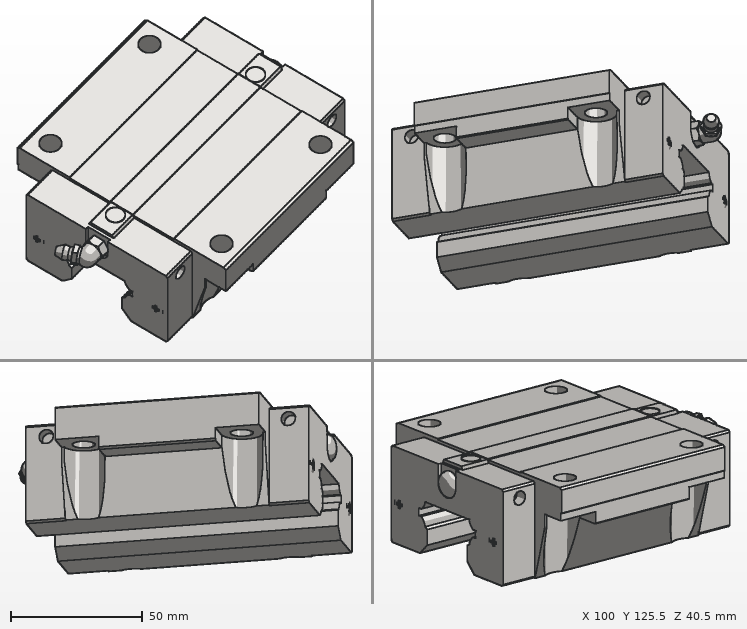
import cadquery as cq
import math

height = 40.5

block_width = 100.0
block_length = 80.0
flange_underside = 22.3
flange_root = 39.9
skirt_half_width = 34.0
flange_top_chamfer = 1.2
flange_top_chamfer_drop = 0.7
flange_bottom_chamfer = 0.8
datum_step = 0.4
datum_step_z = 30.3
top_recess = 0.4
top_recess_half_width = 25.0
strip_half_width = 5.4

hole_pitch_x = 82.0
hole_pitch_y = 62.0
hole_diameter = 8.6
spotface_radius = 8.1
spotface_z = 27.3

cap_half_width = 33.9
cap_height = 38.9
cap_outer_y = 55.55
seal_thickness = 2.75
cap_chamfer = 0.8
cap_strip_height = 40.2
cap_strip_top_half_width = 5.2
cap_strip_foot_half_width = 6.0
oil_mark_radius = 3.75
oil_mark_y = 43.9
oil_mark_depth = 0.3
side_hole_radius = 2.75
side_hole_y = 47.5
side_hole_z = 33.9
side_hole_depth = 5.0

opening_half_width = 12.05
opening_foot_chamfer = 4.4
opening_neck_z = 10.7
opening_roof_z = 21.5
opening_roof_half_width = 13.3
lip_z = 16.5
groove_half_width = 17.05
groove_half_height = 1.5
lip_corner_x = 15.7
lip_bulge = (13.95, 3.3)

port_radius = 5.25
port_z = 31.9
port_depth = 1.4

plug_protrusion = 2.0
plug_shoulder = (4.2, 2.4)

screw_x = 28.5
screw_z = 16.5
screw_radius = 3.15
screw_crown = 0.6
cross_length = 3.0
cross_width = 0.8
cross_depth = 0.4

nut_across_flats = 8.2
nut_length = 4.0
elbow_radius = 4.0
elbow_center_y = -61.66
branch_angle = 22.5
branch_radius = 3.3
collar_across_flats = 7.1
collar_start = 3.3
collar_end = 5.4
neck_start_radius = 3.0
neck_radius = 2.55
neck_end = 7.0
ridge_radius = 3.05
ridge_position = 9.1
tip_radius = 1.75
tip_position = 12.2

half_width = block_width / 2
half_length = block_length / 2
seal_inner_y = cap_outer_y - seal_thickness
port_floor_y = cap_outer_y - port_depth
hole_x = hole_pitch_x / 2
hole_y = hole_pitch_y / 2
SIDES = (-1, 1)


def box(x_range, y_range, z_range):
    """Axis-aligned box from its limits along X, Y and Z."""
    (x0, x1), (y0, y1), (z0, z1) = x_range, y_range, z_range
    return cq.Workplane("XY").box(x1 - x0, y1 - y0, z1 - z0, centered=False).translate((x0, y0, z0))


def both_sides(half_outline):
    """Close a half outline with its mirror image about X = 0."""
    return half_outline + [(-x, z) for x, z in reversed(half_outline)]


def along_y(outline, y0, y1):
    """Extrude a closed XZ outline from y0 to y1."""
    plane = cq.Plane(origin=(0, y0, 0), xDir=(1, 0, 0), normal=(0, -1, 0))
    return cq.Workplane(plane).polyline(outline).close().extrude(y0 - y1)


def revolve_about(plane_profile):
    """Revolve a profile drawn as (radius, distance along axis) about its local Y axis."""
    return plane_profile.close().revolve(360, (0, 0, 0), (0, 1, 0))


def cylinder(origin, direction, radius, length):
    return cq.Workplane(cq.Plane(origin=origin, normal=direction)).circle(radius).extrude(length)


def across_corners(across_flats):
    return across_flats / math.cos(math.pi / 6)


def hexagon(plane, across_flats, length):
    """Hexagonal prism with corners on the plane's local X axis."""
    return cq.Workplane(plane).polygon(6, across_corners(across_flats)).extrude(length)


def make_block():
    recess_z = height - top_recess
    half_outline = [
        (skirt_half_width, 0),
        (flange_root, flange_underside),
        (half_width - flange_bottom_chamfer, flange_underside),
        (half_width, flange_underside + flange_bottom_chamfer),
        (half_width, height - flange_top_chamfer_drop),
        (half_width - flange_top_chamfer, height),
        (top_recess_half_width, height),
        (top_recess_half_width, recess_z),
        (strip_half_width, recess_z),
        (strip_half_width, height),
    ]
    block = along_y(both_sides(half_outline), -half_length, half_length)
    datum_relief = box(
        (-half_width, -half_width + datum_step), (-half_length, half_length), (0, datum_step_z)
    )
    return block.cut(datum_relief)


def cut_mounting_holes(block):
    for side in SIDES:
        for end in SIDES:
            x, y = side * hole_x, end * hole_y
            bore = cylinder((x, y, 0), (0, 0, 1), hole_diameter / 2, height)
            spotface = cylinder((x, y, 0), (0, 0, 1), spotface_radius, spotface_z)
            corner_x = sorted((side * flange_root, side * half_width))
            corner_y = sorted((end * (hole_y - spotface_radius), end * half_length))
            flange_corner = box(corner_x, corner_y, (flange_underside, spotface_z))
            block = block.cut(bore).cut(spotface).cut(flange_corner)
    return block


def make_end_cap(end):
    """End cap with its seal plate; end is -1 or 1 along Y."""
    half_outline = [
        (cap_half_width - cap_chamfer, 0),
        (cap_half_width, cap_chamfer),
        (cap_half_width, cap_height - cap_chamfer),
        (cap_half_width - cap_chamfer, cap_height),
    ]
    strip_outline = [
        (cap_strip_foot_half_width, cap_height),
        (cap_strip_top_half_width, cap_strip_height),
    ]
    cap = along_y(both_sides(half_outline), end * half_length, end * cap_outer_y)
    cap = cap.union(along_y(both_sides(strip_outline), end * half_length, end * seal_inner_y))

    oil_mark_z = cap_strip_height - oil_mark_depth
    cap = cap.cut(cylinder((0, end * oil_mark_y, oil_mark_z), (0, 0, 1), oil_mark_radius, oil_mark_depth))
    for side in SIDES:
        mouth = (side * cap_half_width, end * side_hole_y, side_hole_z)
        cap = cap.cut(cylinder(mouth, (-side, 0, 0), side_hole_radius, side_hole_depth))

    floor = (0, end * port_floor_y, port_z)
    port = cylinder(floor, (0, end, 0), port_radius, port_depth)
    port_y = sorted((end * port_floor_y, end * cap_outer_y))
    port_slot = box((-port_radius, port_radius), port_y, (port_z, cap_height))
    return cap.cut(port).cut(port_slot)


def make_rail_opening():
    lower, upper = lip_z - groove_half_height, lip_z + groove_half_height
    lip_foot_z = 2 * lip_z - opening_roof_z
    bulge_x, bulge_rise = lip_bulge
    plane = cq.Plane(origin=(0, -cap_outer_y, 0), xDir=(1, 0, 0), normal=(0, -1, 0))
    return (
        cq.Workplane(plane)
        .moveTo(0, 0)
        .lineTo(opening_half_width + opening_foot_chamfer, 0)
        .lineTo(opening_half_width, opening_foot_chamfer)
        .lineTo(opening_half_width, opening_neck_z)
        .lineTo(opening_roof_half_width, lip_foot_z)
        .threePointArc((bulge_x, lip_z - bulge_rise), (lip_corner_x, lower))
        .lineTo(groove_half_width, lower)
        .lineTo(groove_half_width, upper)
        .lineTo(lip_corner_x, upper)
        .threePointArc((bulge_x, lip_z + bulge_rise), (opening_roof_half_width, opening_roof_z))
        .lineTo(0, opening_roof_z)
        .mirrorY()
        .extrude(-2 * cap_outer_y)
    )


def make_screw(side, end):
    """Domed screw head with a cross recess, seated on a seal plate."""
    seat = cq.Plane(origin=(side * screw_x, end * cap_outer_y, screw_z), xDir=(1, 0, 0), normal=(0, 0, end))
    dome_radius = (screw_radius**2 + screw_crown**2) / (2 * screw_crown)
    half_angle = math.asin(screw_radius / dome_radius) / 2
    rise = screw_crown - dome_radius * (1 - math.cos(half_angle))
    profile = (
        cq.Workplane(seat)
        .lineTo(screw_radius, 0)
        .threePointArc((dome_radius * math.sin(half_angle), rise), (0, screw_crown))
    )
    recess_base = cq.Plane(
        origin=(side * screw_x, end * (cap_outer_y + screw_crown - cross_depth), screw_z),
        xDir=(1, 0, 0),
        normal=(0, end, 0),
    )
    head = revolve_about(profile)
    for length, width in ((cross_length, cross_width), (cross_width, cross_length)):
        head = head.cut(cq.Workplane(recess_base).rect(length, width).extrude(cross_depth))
    return head


def make_plug():
    base = cq.Plane(origin=(0, port_floor_y, port_z), xDir=(1, 0, 0), normal=(0, 0, 1))
    apex = port_depth + plug_protrusion
    profile = (
        cq.Workplane(base)
        .lineTo(port_radius, 0)
        .spline([plug_shoulder, (0, apex)], tangents=[(0, 1), (-1, 0)], includeCurrent=True)
    )
    return revolve_about(profile)


def make_nipple():
    nut_plane = cq.Plane(origin=(0, -port_floor_y, port_z), xDir=(1, 0, 0), normal=(0, -1, 0))
    nut = hexagon(nut_plane, nut_across_flats, nut_length)
    corner_radius = across_corners(nut_across_flats) / 2
    corner_trim = cq.Workplane(nut_plane).circle(corner_radius).extrude(nut_length)
    nut = nut.intersect(corner_trim.faces("<Y").chamfer(corner_radius - nut_across_flats / 2))

    elbow_center = (0, elbow_center_y, port_z)
    barrel = cylinder((0, -port_floor_y, port_z), (0, -1, 0), elbow_radius, -elbow_center_y - port_floor_y)
    ball = cq.Workplane("XY").sphere(elbow_radius).translate(elbow_center)

    angle = math.radians(branch_angle)
    axis = (-math.cos(angle), -math.sin(angle), 0)
    across = (math.sin(angle), -math.cos(angle), 0)
    collar_center = tuple(c + collar_start * a for c, a in zip(elbow_center, axis))
    collar_plane = cq.Plane(origin=collar_center, xDir=across, normal=axis)
    collar = hexagon(collar_plane, collar_across_flats, collar_end - collar_start)

    branch_plane = cq.Plane(origin=elbow_center, xDir=across, normal=(0, 0, -1))
    branch = revolve_about(
        cq.Workplane(branch_plane).polyline([
            (0, 0),
            (branch_radius, 0),
            (branch_radius, collar_start),
            (neck_start_radius, collar_end),
            (neck_radius, neck_end),
            (ridge_radius, ridge_position),
            (tip_radius, tip_position),
            (0, tip_position),
        ])
    )
    return nut.union(barrel).union(ball).union(branch).union(collar)


carriage = cut_mounting_holes(make_block())
for end in SIDES:
    carriage = carriage.union(make_end_cap(end))
carriage = carriage.cut(make_rail_opening())
for end in SIDES:
    for side in SIDES:
        carriage = carriage.union(make_screw(side, end))
result = carriage.union(make_plug()).union(make_nipple())